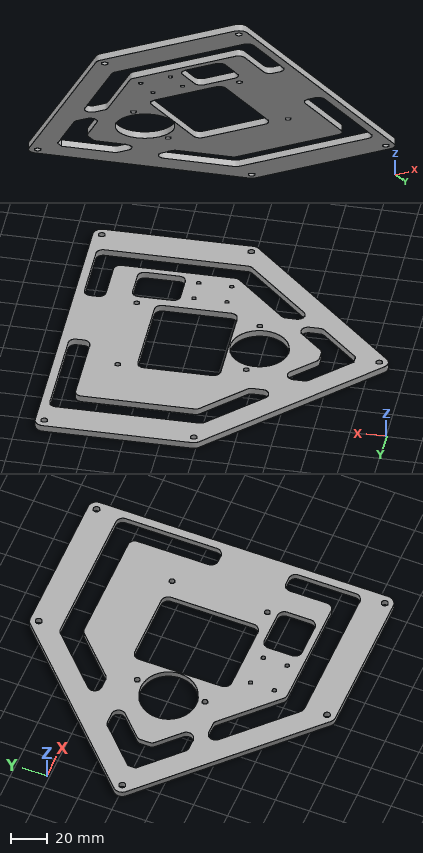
import cadquery as cq
import math

SIZE = 180.0
THICKNESS = 4.0
CORNER_RADIUS = 5.0
SHOULDER_X = 2.0

CORNER_HOLE_DIAMETER = 3.6
MOUNT_HOLE_DIAMETER = 3.0
REAR_MOUNT_X = 54.9
REAR_MOUNT_Y = 28.0
FRONT_MOUNT_X = -15.0
FRONT_MOUNT_Y = 20.0
BOARD_HOLE_DIAMETER = 2.3
BOARD_X = 15.8
BOARD_Y = -45.0
BOARD_PITCH_X = 18.4
BOARD_PITCH_Y = 14.0

ROUND_OPENING_DIAMETER = 32.4
ROUND_OPENING_X = -18.5
MAIN_WINDOW_X = 21.5
MAIN_WINDOW_LENGTH = 45.9
MAIN_WINDOW_WIDTH = 56.9
MAIN_WINDOW_RADIUS = 4.1
SIDE_WINDOW_X = 45.7
SIDE_WINDOW_Y = BOARD_Y
SIDE_WINDOW_LENGTH = 26.5
SIDE_WINDOW_WIDTH = 22.0
SIDE_WINDOW_RADIUS = 4.0

SLOT_WIDTH = 11.9
SLOT_RADIUS = 4.0
REAR_RIM = 5.0
SIDE_RIM = 18.2
NOSE_RIM = 13.0

PLUS_Y_SLOT_NOSE_END = 36.0
PLUS_Y_SLOT_REAR_END = 10.0
MINUS_Y_SLOT_NOSE_END = 29.9
MINUS_Y_SLOT_REAR_END = 30.0
NOSE_SLOT_END = 24.0
NOSE_SLOT_OUTER_TIP_X = -71.3
NOSE_SLOT_INNER_TIP_X = -52.4

HOLE_REACH = SIZE / 2 - CORNER_RADIUS
CORNER_POINTS = [
    (-HOLE_REACH, 0),
    (SHOULDER_X, -HOLE_REACH),
    (HOLE_REACH, -HOLE_REACH),
    (HOLE_REACH, HOLE_REACH),
    (SHOULDER_X, HOLE_REACH),
]
NOSE_ANGLE = math.atan2(HOLE_REACH, SHOULDER_X + HOLE_REACH)


def nose_line_x(y, inset):
    """X at height y on the line parallel to the +Y nose edge, inset from that edge."""
    along_hole_line = -HOLE_REACH + y / math.tan(NOSE_ANGLE)
    return along_hole_line + (inset - CORNER_RADIUS) / math.sin(NOSE_ANGLE)


def outer_x(y):
    """X of the slot wall nearer the nose edge."""
    return nose_line_x(y, NOSE_RIM)


def inner_x(y):
    """X of the slot wall farther from the nose edge."""
    return nose_line_x(y, NOSE_RIM + SLOT_WIDTH)


def prism(points):
    return cq.Workplane("XY").polyline(points).close().extrude(THICKNESS)


def holes(points, diameter):
    return cq.Workplane("XY").pushPoints(points).circle(diameter / 2).extrude(THICKNESS)


def window(x, y, length, width, radius):
    block = cq.Workplane("XY").center(x, y).rect(length, width).extrude(THICKNESS)
    return block.edges("|Z").fillet(radius)


def edge_slot(nose_end, rear_end):
    """Slot on the +Y half that follows the nose edge, the side and the rear edge."""
    outer_side = SIZE / 2 - SIDE_RIM
    inner_side = outer_side - SLOT_WIDTH
    outer_rear = SIZE / 2 - REAR_RIM
    inner_rear = outer_rear - SLOT_WIDTH
    slot = prism([
        (outer_x(nose_end), nose_end),
        (outer_x(outer_side), outer_side),
        (outer_rear, outer_side),
        (outer_rear, rear_end),
        (inner_rear, rear_end),
        (inner_rear, inner_side),
        (inner_x(inner_side), inner_side),
        (inner_x(nose_end), nose_end),
    ])
    return slot.edges("|Z").fillet(SLOT_RADIUS)


def nose_slot():
    """V-shaped slot behind the nose, blunt at both tips and symmetric about the X axis."""
    outer_tip_y = (NOSE_SLOT_OUTER_TIP_X - outer_x(0)) * math.tan(NOSE_ANGLE)
    inner_tip_y = (NOSE_SLOT_INNER_TIP_X - inner_x(0)) * math.tan(NOSE_ANGLE)
    plus_y_half = [
        (NOSE_SLOT_OUTER_TIP_X, outer_tip_y),
        (outer_x(NOSE_SLOT_END), NOSE_SLOT_END),
        (inner_x(NOSE_SLOT_END), NOSE_SLOT_END),
        (NOSE_SLOT_INNER_TIP_X, inner_tip_y),
    ]
    minus_y_half = [(x, -y) for x, y in reversed(plus_y_half)]
    slot = prism(plus_y_half + minus_y_half)
    return slot.edges("|Z and (not <X)").fillet(SLOT_RADIUS)


def mount_points():
    """Two pairs of mounting holes, each pair symmetric about the X axis."""
    pairs = [(REAR_MOUNT_X, REAR_MOUNT_Y), (FRONT_MOUNT_X, FRONT_MOUNT_Y)]
    return [(x, side * y) for x, y in pairs for side in (-1, 1)]


def board_points():
    """Corners of the small rectangular hole pattern."""
    half_x = BOARD_PITCH_X / 2
    half_y = BOARD_PITCH_Y / 2
    return [(BOARD_X + dx, BOARD_Y + dy) for dx in (-half_x, half_x) for dy in (-half_y, half_y)]


plate = cq.Workplane("XY").polyline(CORNER_POINTS).close().offset2D(CORNER_RADIUS).extrude(THICKNESS)

cutouts = [
    holes(CORNER_POINTS, CORNER_HOLE_DIAMETER),
    holes(mount_points(), MOUNT_HOLE_DIAMETER),
    holes(board_points(), BOARD_HOLE_DIAMETER),
    holes([(ROUND_OPENING_X, 0)], ROUND_OPENING_DIAMETER),
    window(MAIN_WINDOW_X, 0, MAIN_WINDOW_LENGTH, MAIN_WINDOW_WIDTH, MAIN_WINDOW_RADIUS),
    window(SIDE_WINDOW_X, SIDE_WINDOW_Y, SIDE_WINDOW_LENGTH, SIDE_WINDOW_WIDTH, SIDE_WINDOW_RADIUS),
    edge_slot(PLUS_Y_SLOT_NOSE_END, PLUS_Y_SLOT_REAR_END),
    edge_slot(MINUS_Y_SLOT_NOSE_END, MINUS_Y_SLOT_REAR_END).mirror("XZ"),
    nose_slot(),
]

result = plate
for cutout in cutouts:
    result = result.cut(cutout)